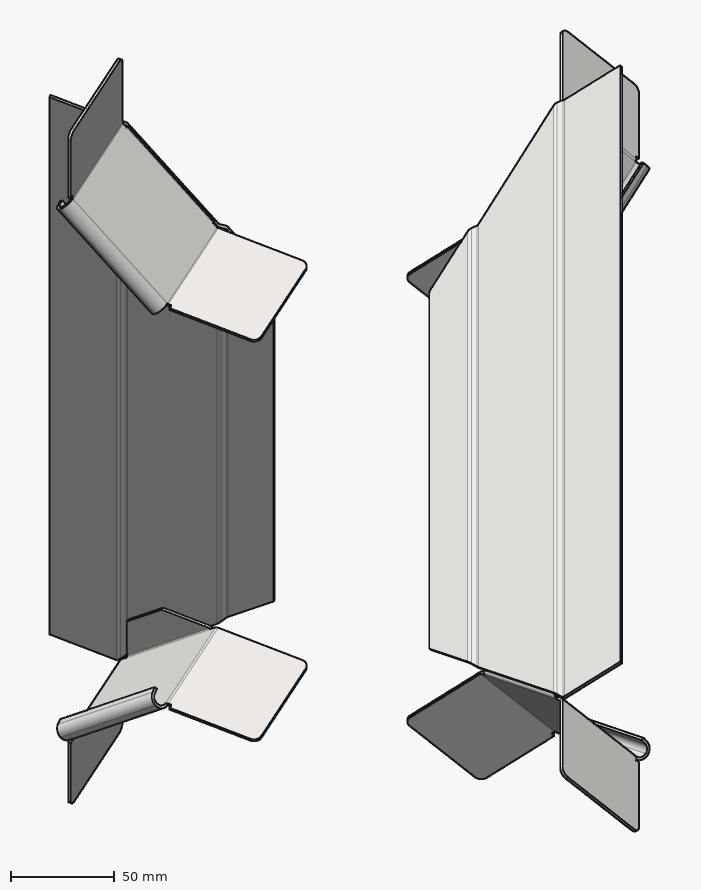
import cadquery as cq
import math

SHEET = 1.5
HEIGHT = 502.5
TAB_LENGTH = 49.5
PLATE_HEIGHT = 402.0
PLATE_TOP = PLATE_HEIGHT / 2
SLOPE = math.radians(45)

STEP = 2 * SHEET
STEP_STARTS = (36.0, 89.0)
STEP_BEND_INSIDE = 1.0
STEP_BEND_OUTSIDE = STEP_BEND_INSIDE + SHEET
PLATE_WIDTH = 118.0
PLATE_CLEARANCE = 0.25

WEB_LEFT = 39.0
WEB_RUN = 51.5
WEB_RIGHT = WEB_LEFT + WEB_RUN
WEB_TOP = HEIGHT / 2 - TAB_LENGTH
WEB_BOTTOM = WEB_TOP - WEB_RUN
WEB_LENGTH = WEB_RUN / math.cos(SLOPE)
BEND_INSIDE = 0.5
BEND_OUTSIDE = BEND_INSIDE + SHEET
TAB_WIDTH = 56.0
TAB_CORNER = 4.0
TAB_NECK = 2.0

FOOT_REACH = 20.0
FOOT_INSET = 2.0
BRACKET_DEPTH = 61.5
LIP_FIRST_RADIUS = 5.5
LIP_SECOND_RADIUS = 5.0
LIP_SECOND_ANGLE = 82.0
LIP_LEG = 3.0

WEB_BACK = -BEND_OUTSIDE
WEB_FRONT = LIP_FIRST_RADIUS - BRACKET_DEPTH


def corner_shift(angle):
    """Shift along X between matching corners of a sheet's two faces at a bend of this angle."""
    return SHEET * math.tan(angle / 2)


def fillet_near(body, points, radius):
    """Round the long edge nearest to each point."""
    for point in points:
        body = body.edges(cq.selectors.NearestToPointSelector(point)).fillet(radius)
    return body


def make_plate():
    """Sheet with two rounded 45 degree steps towards +Y and two sloping right-hand corners."""
    shift = corner_shift(SLOPE)
    tangent = STEP_BEND_OUTSIDE * math.tan(SLOPE / 2)
    front = [(0, -STEP)]
    back = [(0, SHEET - STEP)]
    outside_corners = []
    inside_corners = []
    for index, start in enumerate(STEP_STARTS):
        y_before = (index - 1) * STEP
        y_after = y_before + STEP
        x_before = start + tangent
        x_after = x_before + STEP / math.tan(SLOPE)
        front_corners = [(x_before, y_before), (x_after, y_after)]
        back_corners = [(x - shift, y + SHEET) for x, y in front_corners]
        front += front_corners
        back += back_corners
        outside_corners += [front_corners[0], back_corners[1]]
        inside_corners += [back_corners[0], front_corners[1]]
    front.append((PLATE_WIDTH, STEP))
    back.append((PLATE_WIDTH, STEP + SHEET))
    sheet = (
        cq.Workplane("XY", origin=(0, 0, -PLATE_TOP))
        .polyline(front + back[::-1]).close()
        .extrude(PLATE_HEIGHT)
    )
    sheet = fillet_near(sheet, [(x, y, 0) for x, y in outside_corners], STEP_BEND_OUTSIDE)
    sheet = fillet_near(sheet, [(x, y, 0) for x, y in inside_corners], STEP_BEND_INSIDE)

    slope_sum = WEB_LEFT + WEB_TOP - (SHEET + PLATE_CLEARANCE) / math.sin(SLOPE)
    left_end = slope_sum - PLATE_TOP
    right_top = slope_sum - PLATE_WIDTH
    outline = (
        cq.Workplane("XZ")
        .polyline([
            (0, -PLATE_TOP), (left_end, -PLATE_TOP), (PLATE_WIDTH, -right_top),
            (PLATE_WIDTH, right_top), (left_end, PLATE_TOP), (0, PLATE_TOP),
        ]).close()
        .extrude(2 * (STEP + SHEET), both=True)
    )
    return sheet.intersect(outline)


def make_strip():
    """Web and the necks of both tabs: one strip with two 45 degree bends."""
    shift = corner_shift(SLOPE)
    neck_top = WEB_TOP + TAB_NECK
    neck_right = WEB_RIGHT + TAB_NECK
    left_outer = (WEB_LEFT, WEB_TOP)
    right_outer = (WEB_RIGHT, WEB_BOTTOM)
    left_inner = (WEB_LEFT - SHEET, WEB_TOP - shift)
    right_inner = (WEB_RIGHT - shift, WEB_BOTTOM - SHEET)
    strip = (
        cq.Workplane("XZ", origin=(0, WEB_BACK, 0))
        .polyline([
            (WEB_LEFT - SHEET, neck_top), (WEB_LEFT, neck_top), left_outer,
            right_outer, (neck_right, WEB_BOTTOM), (neck_right, WEB_BOTTOM - SHEET),
            right_inner, left_inner,
        ]).close()
        .extrude(WEB_BACK - WEB_FRONT)
    )
    middle = (WEB_BACK + WEB_FRONT) / 2
    strip = fillet_near(strip, [(x, middle, z) for x, z in (left_outer, right_outer)], BEND_INSIDE)
    return fillet_near(strip, [(x, middle, z) for x, z in (left_inner, right_inner)], BEND_OUTSIDE)


def make_tabs():
    """Upright and level mounting tabs with rounded free corners."""
    length = TAB_LENGTH - TAB_NECK
    y_front = WEB_BACK - TAB_WIDTH
    upright = (
        cq.Workplane("XY", origin=(WEB_LEFT - SHEET, y_front, WEB_TOP + TAB_NECK))
        .box(SHEET, TAB_WIDTH, length, centered=False)
        .faces(">Z").edges("|X").fillet(TAB_CORNER)
    )
    level = (
        cq.Workplane("XY", origin=(WEB_RIGHT + TAB_NECK, y_front, WEB_BOTTOM - SHEET))
        .box(length, TAB_WIDTH, SHEET, centered=False)
        .faces(">X").edges("|Z").fillet(TAB_CORNER)
    )
    return upright, level


def section_plane():
    """Plane across the web: x runs inwards from its outer face, y forwards from the foot's back."""
    return cq.Workplane(cq.Plane(
        origin=(WEB_LEFT, 0, WEB_TOP), xDir=(-1, 0, -1), normal=(-1, 0, 1)))


def polar(centre, radius, degrees):
    """Point on a circle, turning from the outer side (0) towards the front (90)."""
    angle = math.radians(degrees)
    return centre[0] - radius * math.cos(angle), centre[1] + radius * math.sin(angle)


def make_foot():
    """Foot against the plate, with the bend that joins it to the web."""
    centre = (BEND_OUTSIDE, BEND_OUTSIDE)
    foot = (
        section_plane().moveTo(FOOT_REACH, 0).lineTo(BEND_OUTSIDE, 0)
        .threePointArc(polar(centre, BEND_OUTSIDE, -45), (0, BEND_OUTSIDE))
        .lineTo(SHEET, BEND_OUTSIDE)
        .threePointArc(polar(centre, BEND_INSIDE, -45), (BEND_OUTSIDE, SHEET))
        .lineTo(FOOT_REACH, SHEET).close()
        .extrude(-WEB_LENGTH)
    )
    kept_corner = (WEB_LEFT + FOOT_INSET, 0, WEB_BOTTOM + FOOT_INSET)
    kept_region = (
        cq.Workplane("XY", origin=kept_corner)
        .box(WEB_RUN, 2 * BEND_OUTSIDE, WEB_RUN, centered=(False, True, False))
    )
    return foot.intersect(kept_region)


def make_lip():
    """Lip rolled inwards from the web's front: two arcs and a short straight leg."""
    first = (LIP_FIRST_RADIUS, BRACKET_DEPTH - LIP_FIRST_RADIUS)
    second = (LIP_FIRST_RADIUS, BRACKET_DEPTH - LIP_SECOND_RADIUS)
    first_inner = LIP_FIRST_RADIUS - SHEET
    second_inner = LIP_SECOND_RADIUS - SHEET
    roll_end = 90 + LIP_SECOND_ANGLE
    roll_middle = 90 + LIP_SECOND_ANGLE / 2
    outer_end = polar(second, LIP_SECOND_RADIUS, roll_end)
    inner_end = polar(second, second_inner, roll_end)
    leg_x, leg_y = polar((0, 0), LIP_LEG, roll_end + 90)
    return (
        section_plane().moveTo(*polar(first, LIP_FIRST_RADIUS, 0))
        .threePointArc(polar(first, LIP_FIRST_RADIUS, 45), polar(first, LIP_FIRST_RADIUS, 90))
        .threePointArc(polar(second, LIP_SECOND_RADIUS, roll_middle), outer_end)
        .line(leg_x, leg_y)
        .lineTo(inner_end[0] + leg_x, inner_end[1] + leg_y)
        .lineTo(*inner_end)
        .threePointArc(polar(second, second_inner, roll_middle), polar(second, second_inner, 90))
        .threePointArc(polar(first, first_inner, 45), polar(first, first_inner, 0))
        .close().extrude(-WEB_LENGTH)
    )


def make_bracket(mirrored):
    """Web, two tabs, foot and lip in one bent sheet; mirrored in Z = 0 for the lower end."""
    bracket = make_strip()
    for portion in (*make_tabs(), make_foot(), make_lip()):
        bracket = bracket.union(portion)
    if mirrored:
        bracket = bracket.mirror("XY")
    return bracket.solids().val()


plate = make_plate().solids().val()
brackets = [make_bracket(mirrored) for mirrored in (False, True)]

result = cq.Compound.makeCompound([plate, *brackets])